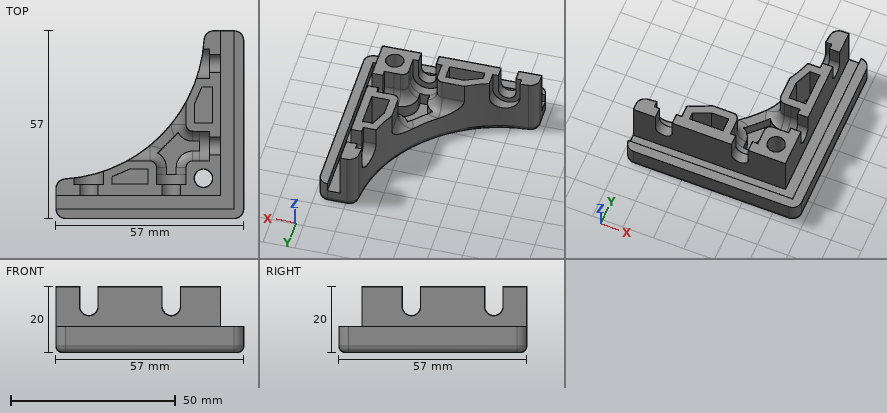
import cadquery as cq
import math


arm_length = 57.0
height = 20.0
inner_arc_radius = 45.0
corner_radius = 3.0
bottom_fillet = 2.0

lip_thickness = 3.0
lip_height = 8.0
wall_face = 7.0
groove_floor = 5.0

slot_width = 5.5
seat_width = 9.0
slot_centre_height = 14.0
seat_face = 10.4
inner_slot = 22.0
slot_pitch = 25.0
outer_seat_end = 20.0

recess_floor = 9.0
tube_radius = seat_width / 2
tube_height = recess_floor + tube_radius
channel_start = 13.4
block_corner_radius = 2.0
recess_near = inner_slot - seat_width / 2
recess_far = inner_slot + seat_width / 2
bend_radius = block_corner_radius + tube_radius
near_bend = recess_near - block_corner_radius
far_bend = recess_far + block_corner_radius
pit_inset = 3.0
pit_floor = 5.0
pit_diagonal = 46.0

hole_diameter = 5.5
hole_position = 12.25

pocket_floor = 5.0
pocket_start = 29.0
pocket_end = 40.0
pocket_slant_start = 34.7
pocket_top = 15.0
pocket_tip = 12.7
x_arm_pocket_bottom = 10.5
y_arm_pocket_bottom = 9.5

diagonal_normal = cq.Vector(1, -1, 0)


def prism(outline, bottom, top):
    """Extrude a closed XY outline between two heights."""
    return outline.extrude(top - bottom).translate((0, 0, bottom))


def block(x_min, x_max, y_min, y_max, bottom, top):
    size = (x_max - x_min, y_max - y_min, top - bottom)
    return cq.Workplane("XY").box(*size, centered=False).translate((x_min, y_min, bottom))


def swap_arms(shape):
    """Mirror a shape across the plane x = y, from one arm to the other."""
    return cq.Workplane("XY").newObject([shape.val().mirror(diagonal_normal)])


def make_body():
    arm_width = arm_length - inner_arc_radius
    arc_middle = arm_length - inner_arc_radius * math.sqrt(0.5)
    outline = (
        cq.Workplane("XY")
        .lineTo(arm_length, 0)
        .lineTo(arm_length, arm_width)
        .threePointArc((arc_middle, arc_middle), (arm_width, arm_length))
        .lineTo(0, arm_length)
        .close()
    )
    body = outline.extrude(height)
    body = body.edges("|Z").fillet(corner_radius)
    return body.faces("<Z").edges().fillet(bottom_fillet)


def lip_cutter():
    """Clear the space above the lip and cut the groove behind it, on the X arm."""
    above_lip = block(0, arm_length, 0, wall_face, lip_height, height)
    groove = block(lip_thickness, arm_length, lip_thickness, wall_face, groove_floor, height)
    return above_lip.union(groove)


def open_slot(x, width, centre_height, y_start, y_end):
    """A round-bottomed slot along Y, open at the top."""
    length = y_end - y_start
    round_bottom = (
        cq.Workplane("XZ", origin=(x, y_start, centre_height)).circle(width / 2).extrude(-length)
    )
    sides = block(x - width / 2, x + width / 2, y_start, y_end, centre_height, height)
    return round_bottom.union(sides)


def slot_cutter(x, seat_centre_height, seat_end):
    """A screw slot through the wall, with its wider seat behind it."""
    slot = open_slot(x, slot_width, slot_centre_height, wall_face, seat_face)
    return slot.union(open_slot(x, seat_width, seat_centre_height, seat_face, seat_end))


def pocket_cutter(bottom_edge):
    """A blind pocket in the X arm with one slanted corner."""
    outline = cq.Workplane("XY").polyline(
        [
            (pocket_start, bottom_edge),
            (pocket_end, bottom_edge),
            (pocket_end, pocket_tip),
            (pocket_slant_start, pocket_top),
            (pocket_start, pocket_top),
        ]
    )
    return prism(outline.close(), pocket_floor, height)


def recess_prism(inset, bottom, top):
    """The recess in plan, moved inwards from its walls by `inset`, with rounded block corners."""
    near = recess_near + inset
    far = recess_far - inset
    middle = (bottom + top) / 2
    channel = block(near, far, channel_start, arm_length, bottom, top)
    opening = block(near, arm_length, near, arm_length, bottom, top)
    walls = channel.union(swap_arms(channel)).union(opening)
    for x, y in ((near, near), (far, near), (near, far)):
        corner_edge = walls.edges(cq.NearestToPointSelector((x, y, middle)))
        walls = corner_edge.fillet(block_corner_radius + inset)
    return walls


def bend_tube(x, y, start_angle):
    """A quarter of a torus that rounds the foot of one block corner centred on (x, y)."""
    return (
        cq.Workplane("XZ")
        .center(bend_radius, 0)
        .circle(tube_radius)
        .revolve(90, (-bend_radius, 0), (-bend_radius, 1))
        .rotate((0, 0, 0), (0, 0, 1), start_angle)
        .translate((x, y, tube_height))
    )


def recess_floor_cutter():
    """Level floor between the lines followed by the rounded feet of the walls."""
    chord = bend_radius * math.sqrt(0.5)
    outline = (
        cq.Workplane("XY")
        .moveTo(inner_slot, near_bend)
        .threePointArc((far_bend - chord, near_bend + chord), (far_bend, inner_slot))
        .lineTo(arm_length, inner_slot)
        .lineTo(arm_length, arm_length)
        .lineTo(inner_slot, arm_length)
        .lineTo(inner_slot, far_bend)
        .threePointArc((near_bend + chord, far_bend - chord), (near_bend, inner_slot))
        .threePointArc((near_bend + chord, near_bend + chord), (inner_slot, near_bend))
        .close()
    )
    return prism(outline, recess_floor, tube_height)


def straight_tube(y_start, y_end):
    """A round foot along Y, in line with the inner slot."""
    section = cq.Workplane("XZ", origin=(inner_slot, y_start, tube_height)).circle(tube_radius)
    return section.extrude(y_start - y_end)


def pit_cutter():
    """Pit sunk into the recess, parallel to its walls and closed by a diagonal edge."""
    corner = cq.Workplane("XY").polyline([(0, 0), (pit_diagonal, 0), (0, pit_diagonal)])
    return recess_prism(pit_inset, pit_floor, height).intersect(prism(corner.close(), pit_floor, height))


def recess_cutter():
    cutter = recess_prism(0, tube_height, height).union(recess_floor_cutter())
    for tube in (straight_tube(channel_start, near_bend), straight_tube(far_bend, arm_length)):
        cutter = cutter.union(tube).union(swap_arms(tube))
    cutter = cutter.union(bend_tube(near_bend, near_bend, 0))
    far_tube = bend_tube(far_bend, near_bend, 90)
    cutter = cutter.union(far_tube).union(swap_arms(far_tube))
    return cutter


def corner_hole():
    return cq.Workplane("XY").center(hole_position, hole_position).circle(hole_diameter / 2).extrude(height)


def make_bracket():
    bracket = make_body()
    arm_cutters = [
        lip_cutter(),
        slot_cutter(inner_slot, tube_height, channel_start),
        slot_cutter(inner_slot + slot_pitch, slot_centre_height, outer_seat_end),
    ]
    for cutter in arm_cutters:
        bracket = bracket.cut(cutter).cut(swap_arms(cutter))
    bracket = bracket.cut(pocket_cutter(x_arm_pocket_bottom))
    bracket = bracket.cut(swap_arms(pocket_cutter(y_arm_pocket_bottom)))
    bracket = bracket.cut(recess_cutter(), clean=False)
    bracket = bracket.cut(pit_cutter(), clean=False)
    return bracket.cut(corner_hole(), clean=False)


result = make_bracket().mirror("YZ")